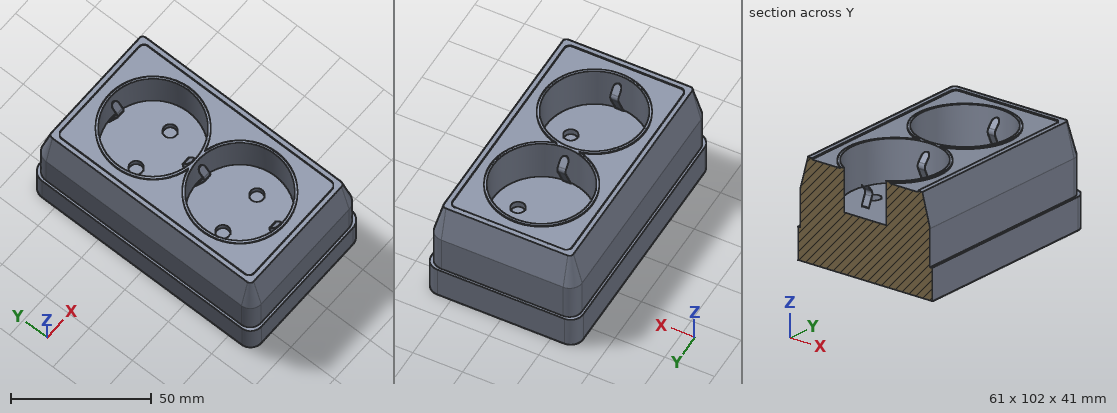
import cadquery as cq
import math

base_width = 61.0
base_length = 102.0
total_height = 41.0
base_height = 13.0
cover_height = 15.0
cover_step = 1.0
corner_radius = 5.0
cap_inset = 3.5

rim_width = 2.0
panel_corner_radius = 2.2
panel_depth = 0.5

socket_pitch = 40.0
socket_diameter = 39.0
collar_width = 1.0
socket_depth = 17.0
pin_hole_diameter = 5.5
pin_hole_spacing = 19.0
pin_hole_depth = 2.5

clip_width = 3.3
clip_thickness = 0.2
clip_reach = 5.0
clip_bend_height = 9.7
clip_tip_height = 14.1
clip_foot_gap = 0.5
clip_tip_gap = 1.2
clip_bend_radius = 2.2
clip_foot_embed = 0.5

cover_width = base_width - 2 * cover_step
cover_length = base_length - 2 * cover_step
cap_width = cover_width - 2 * cap_inset
cap_length = cover_length - 2 * cap_inset
cap_height = total_height - base_height - cover_height
cap_taper = math.degrees(math.atan2(cap_inset, cap_height))
floor_z = total_height - socket_depth
socket_radius = socket_diameter / 2
socket_centers = [(0, -socket_pitch / 2), (0, socket_pitch / 2)]


def rounded_block(width, length, height, radius, bottom_z):
    """Upright block with rounded vertical edges, centred on the Z axis."""
    block = cq.Workplane("XY").box(width, length, height, centered=(True, True, False))
    return block.edges("|Z").fillet(radius).translate((0, 0, bottom_z))


def tapered_cap():
    """Cap that narrows evenly on all sides; its corners are cones."""
    outline = cq.Sketch().rect(cover_width, cover_length).vertices().fillet(corner_radius)
    cap = cq.Workplane("XY").placeSketch(outline).extrude(cap_height, taper=cap_taper)
    return cap.translate((0, 0, base_height + cover_height))


def socket_cylinders(diameter, bottom_z):
    """One cylinder per socket, reaching from bottom_z up to the top face."""
    plane = cq.Workplane("XY").workplane(offset=bottom_z)
    return plane.pushPoints(socket_centers).circle(diameter / 2).extrude(total_height - bottom_z)


def panel_recess():
    """Shallow recess inside the rim that leaves the socket collars standing."""
    panel_z = total_height - panel_depth
    panel_width = cap_width - 2 * rim_width
    panel_length = cap_length - 2 * rim_width
    recess = rounded_block(panel_width, panel_length, panel_depth, panel_corner_radius, panel_z)
    return recess.cut(socket_cylinders(socket_diameter + 2 * collar_width, panel_z))


def pin_holes():
    """Two blind contact holes in the floor of each socket."""
    half_spacing = pin_hole_spacing / 2
    points = [(x, y) for _, y in socket_centers for x in (-half_spacing, half_spacing)]
    plane = cq.Workplane("XY").workplane(offset=floor_z)
    return plane.pushPoints(points).circle(pin_hole_diameter / 2).extrude(-pin_hole_depth)


def earth_clip():
    """Bent strip at the +Y wall of a socket centred on the Z axis, standing on z = 0."""
    bend_y = socket_radius - clip_reach
    foot_y = socket_radius - clip_foot_gap
    tip_y = socket_radius - clip_tip_gap
    foot_lean = math.atan2(foot_y - bend_y, clip_bend_height)
    tip_lean = math.atan2(tip_y - bend_y, clip_tip_height - clip_bend_height)
    foot_shift = clip_thickness / math.cos(foot_lean)
    tip_shift = clip_thickness / math.cos(tip_lean)
    bend_rise = (foot_shift - tip_shift) / (math.tan(foot_lean) + math.tan(tip_lean))
    back_bend_y = bend_y + tip_shift + bend_rise * math.tan(tip_lean)
    embed_y = foot_y + clip_foot_embed * math.tan(foot_lean)
    strip = (
        cq.Workplane("YZ")
        .moveTo(embed_y, -clip_foot_embed)
        .lineTo(bend_y, clip_bend_height)
        .lineTo(tip_y, clip_tip_height)
        .lineTo(tip_y + tip_shift, clip_tip_height)
        .lineTo(back_bend_y, clip_bend_height + bend_rise)
        .lineTo(embed_y + foot_shift, -clip_foot_embed)
        .close()
        .extrude(clip_width / 2, both=True)
    )
    front_bend = cq.selectors.NearestToPointSelector((0, bend_y, clip_bend_height))
    strip = strip.edges(front_bend).fillet(clip_bend_radius)
    back_bend = cq.selectors.NearestToPointSelector((0, back_bend_y, clip_bend_height + bend_rise))
    strip = strip.edges(back_bend).fillet(clip_bend_radius - clip_thickness)
    half_width = clip_width / 2
    round_z = clip_tip_height - half_width
    tip_envelope = (
        cq.Workplane("XZ")
        .moveTo(-half_width, -clip_foot_embed)
        .lineTo(half_width, -clip_foot_embed)
        .lineTo(half_width, round_z)
        .threePointArc((0, clip_tip_height), (-half_width, round_z))
        .close()
        .extrude(-2 * socket_radius)
    )
    return strip.intersect(tip_envelope)


housing = rounded_block(base_width, base_length, base_height, corner_radius, 0)
housing = housing.union(
    rounded_block(cover_width, cover_length, cover_height, corner_radius, base_height)
)
housing = housing.union(tapered_cap())
housing = housing.cut(panel_recess())
housing = housing.cut(socket_cylinders(socket_diameter, floor_z))
housing = housing.cut(pin_holes())

clip = earth_clip()
for _, center_y in socket_centers:
    for turn in (0, 180):
        turned_clip = clip.rotate((0, 0, 0), (0, 0, 1), turn)
        housing = housing.union(turned_clip.translate((0, center_y, floor_z)))

result = housing